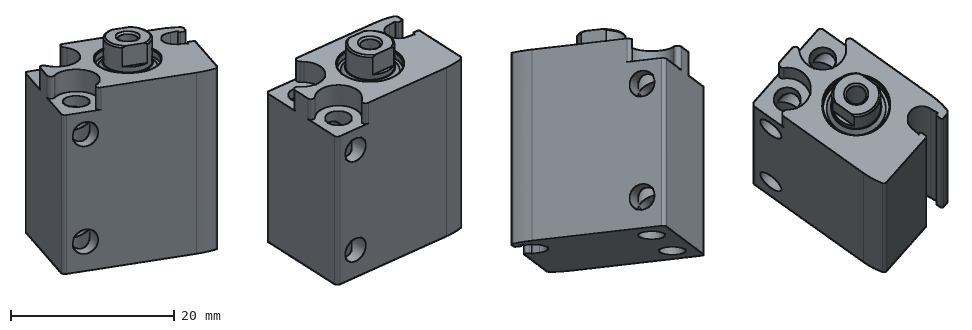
import cadquery as cq
import math

width = 13.5
length = 20.5
housing_height = 24.5
total_height = 27.5
front_y = -11.0
back_y = front_y + length
half_width = width / 2
corner_radius = 0.5

flank_length = 3.0
flank_radius = 10.0

mount_diameter = 3.3
mount_x = 3.5
mount_y = front_y + 3.0
pocket_radius = 2.9
pocket_depth = 3.0
cross_hole_heights = (4.0, 18.5)

slot_x = -mount_x
slot_neck_half_width = 1.48
slot_neck_depth = 1.0
slot_shoulder_half_width = 1.87
slot_round_radius = 1.75
slot_depth = 3.75
slot_lip_radius = 0.2

recess_diameter = 8.1
recess_depth = 1.0
recess_chamfer = 0.15
collar_base_diameter = 7.25
collar_top_diameter = 6.22
collar_height = 0.52
rod_diameter = 6.0
rod_seat_depth = 7.0

rod_chamfer = 0.22
flat_spacing = 5.0
flat_floor = housing_height + 0.25
socket_diameter = 2.45
socket_mouth_diameter = 3.0
socket_depth = 6.0
drill_point_angle = 118.0


def housing_block():
    """Rectangular block with two curved flanks and rounded vertical edges."""
    flank_start_y = back_y - flank_length

    def flank_x(distance):
        return half_width - flank_radius + math.sqrt(flank_radius**2 - distance**2)

    back_half_width = flank_x(flank_length)
    middle_x = flank_x(flank_length / 2)
    middle_y = flank_start_y + flank_length / 2
    return (
        cq.Workplane("XY")
        .moveTo(-half_width, front_y)
        .lineTo(half_width, front_y)
        .lineTo(half_width, flank_start_y)
        .threePointArc((middle_x, middle_y), (back_half_width, back_y))
        .lineTo(-back_half_width, back_y)
        .threePointArc((-middle_x, middle_y), (-half_width, flank_start_y))
        .close()
        .extrude(housing_height)
        .edges("|Z and (<Y or >Y)")
        .fillet(corner_radius)
    )


def sensor_slot():
    """Full-height slot with a narrow neck and a round bottom."""
    shoulder_y = back_y - slot_neck_depth
    round_y = back_y - slot_depth + slot_round_radius
    return (
        cq.Workplane("XY")
        .moveTo(slot_x - slot_neck_half_width, back_y)
        .lineTo(slot_x - slot_neck_half_width, shoulder_y)
        .lineTo(slot_x - slot_shoulder_half_width, shoulder_y)
        .lineTo(slot_x - slot_round_radius, round_y)
        .threePointArc((slot_x, back_y - slot_depth), (slot_x + slot_round_radius, round_y))
        .lineTo(slot_x + slot_shoulder_half_width, shoulder_y)
        .lineTo(slot_x + slot_neck_half_width, shoulder_y)
        .lineTo(slot_x + slot_neck_half_width, back_y)
        .close()
        .extrude(housing_height)
    )


def round_slot_lips(body):
    """Round the four vertical edges of the slot neck."""
    for y in (back_y, back_y - slot_neck_depth):
        for side in (-1, 1):
            x = slot_x + side * slot_neck_half_width
            edge = cq.selectors.NearestToPointSelector((x, y, housing_height / 2))
            body = body.edges("|Z").edges(edge).fillet(slot_lip_radius)
    return body


def corner_pocket(side):
    """Round pocket about a mounting hole, open at 45 degrees to the front corner."""
    floor_z = housing_height - pocket_depth
    channel_length = width
    pocket = cq.Workplane("XY").circle(pocket_radius).extrude(pocket_depth)
    channel = (
        cq.Workplane("XY")
        .rect(channel_length, 2 * pocket_radius)
        .extrude(pocket_depth)
        .translate((channel_length / 2, 0, 0))
        .rotate((0, 0, 0), (0, 0, 1), -90 + 45 * side)
    )
    return pocket.union(channel).translate((side * mount_x, mount_y, floor_z))


def round_pocket_mouth(body, side):
    """Round the two sharp edges where a pocket opens on the front and flank."""
    middle_z = housing_height - pocket_depth / 2
    tangent_reach = pocket_radius * math.sqrt(2)
    front_x = mount_x + (mount_y - front_y) - tangent_reach
    flank_y = mount_y - (half_width - mount_x) + tangent_reach
    for x, y in ((front_x, front_y), (half_width, flank_y)):
        edge = cq.selectors.NearestToPointSelector((side * x, y, middle_z))
        body = body.edges("|Z").edges(edge).fillet(corner_radius)
    return body


def rod_seat():
    """Revolved cutter: chamfered recess around a conical collar, and the bore that holds the rod."""
    recess_radius = recess_diameter / 2
    recess_floor = housing_height - recess_depth
    return (
        cq.Workplane("XZ")
        .moveTo(0, housing_height)
        .lineTo(recess_radius + recess_chamfer, housing_height)
        .lineTo(recess_radius, housing_height - recess_chamfer)
        .lineTo(recess_radius, recess_floor)
        .lineTo(collar_base_diameter / 2, recess_floor)
        .lineTo(collar_top_diameter / 2, recess_floor + collar_height)
        .lineTo(rod_diameter / 2, recess_floor + collar_height)
        .lineTo(rod_diameter / 2, housing_height - rod_seat_depth)
        .lineTo(0, housing_height - rod_seat_depth)
        .close()
        .revolve(360, (0, 0, 0), (0, 1, 0))
    )


def make_housing():
    body = housing_block().cut(sensor_slot())
    body = round_slot_lips(body)
    for side in (-1, 1):
        body = body.cut(corner_pocket(side))
        body = round_pocket_mouth(body, side)
        mount_hole = cq.Workplane("XY").circle(mount_diameter / 2).extrude(housing_height)
        body = body.cut(mount_hole.translate((side * mount_x, mount_y, 0)))
    for z in cross_hole_heights:
        cross_hole = cq.Workplane("YZ").circle(mount_diameter / 2).extrude(half_width, both=True)
        body = body.cut(cross_hole.translate((0, mount_y, z)))
    return body.cut(rod_seat())


def rod_socket():
    """Revolved cutter: blind hole with a chamfered mouth and a drill point."""
    radius = socket_diameter / 2
    mouth_radius = socket_mouth_diameter / 2
    floor_z = total_height - socket_depth
    point_depth = radius / math.tan(math.radians(drill_point_angle / 2))
    return (
        cq.Workplane("XZ")
        .moveTo(0, total_height)
        .lineTo(mouth_radius, total_height)
        .lineTo(radius, total_height - (mouth_radius - radius))
        .lineTo(radius, floor_z)
        .lineTo(0, floor_z - point_depth)
        .close()
        .revolve(360, (0, 0, 0), (0, 1, 0))
    )


def make_rod():
    rod_bottom = housing_height - rod_seat_depth
    body = (
        cq.Workplane("XY", origin=(0, 0, rod_bottom))
        .circle(rod_diameter / 2)
        .extrude(total_height - rod_bottom)
        .faces(">Z")
        .chamfer(rod_chamfer)
    )
    flat_height = total_height - flat_floor
    for side in (-1, 1):
        flat_cut = cq.Workplane("XY").box(rod_diameter, rod_diameter, flat_height)
        center_x = side * (flat_spacing + rod_diameter) / 2
        body = body.cut(flat_cut.translate((center_x, 0, flat_floor + flat_height / 2)))
    return body.cut(rod_socket())


housing = make_housing()
rod = make_rod()
result = cq.Compound.makeCompound([*housing.solids().vals(), *rod.solids().vals()])